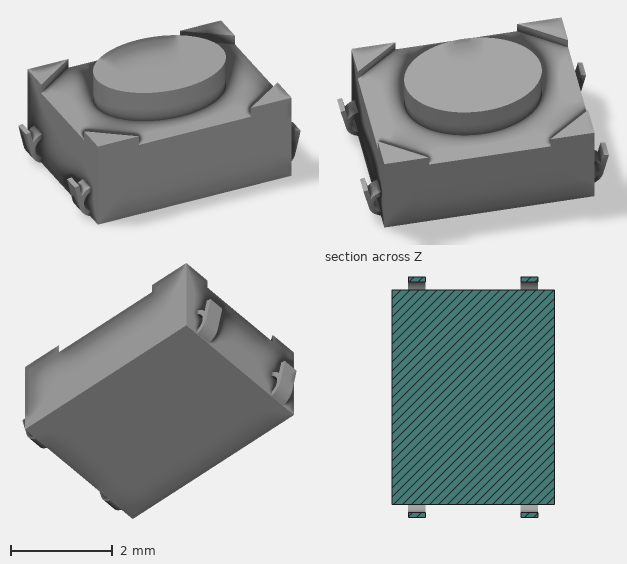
import cadquery as cq
import math

overall_length = 4.92
overall_height = 2.25
housing_width = 3.2
housing_length = 4.215
housing_height = 1.8

pad_height = 0.2
pad_leg_x = 0.635
pad_leg_y = 0.89
deck_height = housing_height - pad_height

button_width = 2.0
button_length = 2.73

terminal_width = 0.35
terminal_inset = 0.32
strip_thickness = 0.1
curl_radius = 0.35
curl_depth = 0.105
arm_tilt = math.radians(13.0)

half_width = housing_width / 2
half_length = housing_length / 2


def make_housing():
    """Rectangular block with a raised triangular pad on each top corner."""
    housing = cq.Workplane("XY").box(
        housing_width, housing_length, deck_height, centered=(True, True, False)
    )
    for side_x in (-1, 1):
        for side_y in (-1, 1):
            corner_x = side_x * half_width
            corner_y = side_y * half_length
            pad = (
                cq.Workplane("XY")
                .workplane(offset=deck_height)
                .moveTo(corner_x, corner_y)
                .lineTo(corner_x - side_x * pad_leg_x, corner_y)
                .lineTo(corner_x, corner_y - side_y * pad_leg_y)
                .close()
                .extrude(pad_height)
            )
            housing = housing.union(pad)
    return housing


def make_button():
    """Elliptical button standing on the deck between the pads."""
    return (
        cq.Workplane("XY")
        .workplane(offset=deck_height)
        .ellipse(button_width / 2, button_length / 2)
        .extrude(overall_height - deck_height)
    )


def make_terminal():
    """Terminal on the +Y end, centred on X = 0."""
    curl_center = (half_length - curl_depth, curl_radius)
    inner_radius = curl_radius - strip_thickness

    normal = (math.cos(arm_tilt), -math.sin(arm_tilt))
    outer_root = tuple(c + curl_radius * n for c, n in zip(curl_center, normal))
    inner_root = tuple(c + inner_radius * n for c, n in zip(curl_center, normal))
    arm_run = overall_length / 2 - outer_root[0]
    arm_rise = arm_run / math.tan(arm_tilt)

    profile_plane = cq.Workplane("YZ").workplane(offset=-terminal_width / 2)
    curl = (
        profile_plane.center(*curl_center)
        .circle(curl_radius)
        .circle(inner_radius)
        .extrude(terminal_width)
    )
    arm = (
        profile_plane.moveTo(*inner_root)
        .lineTo(*outer_root)
        .line(arm_run, arm_rise)
        .lineTo(inner_root[0] + arm_run, inner_root[1] + arm_rise)
        .close()
        .extrude(terminal_width)
    )
    return curl.union(arm)


result = make_housing().union(make_button())

terminal_x = half_width - terminal_inset - terminal_width / 2
back_terminal = make_terminal()
front_terminal = back_terminal.mirror("XZ")
for x in (-terminal_x, terminal_x):
    for terminal in (back_terminal, front_terminal):
        result = result.union(terminal.translate((x, 0, 0)))